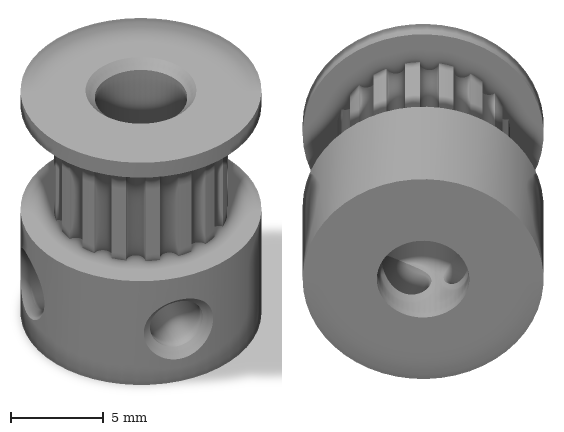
import cadquery as cq

total_height = 15
body_diameter = 13.0
flange_thickness = 1.0
hub_height = 7.0

tooth_count = 16
tooth_tip_diameter = 9.4
groove_diameter = 1.04

bore_diameter = 5.0
screw_diameter = 3
screw_height = hub_height / 2
screw_directions = [cq.Vector(0, -1, 0), cq.Vector(1, 0, 0)]

lead_in = 0.5

body_radius = body_diameter / 2
screw_radius = screw_diameter / 2
flange_base = total_height - flange_thickness
tooth_height = flange_base - hub_height
screw_level = cq.Vector(0, 0, screw_height)


def disc(diameter, height, base):
    """Cylinder on the pulley axis, rising from the given base level."""
    return cq.Workplane("XY").workplane(offset=base).circle(diameter / 2).extrude(height)


def toothed_section():
    """Cylinder with round-bottomed belt grooves centred on its rim."""
    grooves = (
        cq.Workplane("XY")
        .workplane(offset=hub_height)
        .polarArray(tooth_tip_diameter / 2, 0, 360, tooth_count)
        .circle(groove_diameter / 2)
        .extrude(tooth_height)
    )
    return disc(tooth_tip_diameter, tooth_height, hub_height).cut(grooves)


def cut_shaft_bore(pulley):
    """Through bore along the axis, chamfered at the flange end."""
    bored = pulley.cut(disc(bore_diameter, total_height, 0))
    bore_rim = cq.selectors.RadiusNthSelector(0)
    return bored.faces(">Z").edges(bore_rim).chamfer(lead_in)


def screw_mouth(direction):
    """Selector for the edges where a set screw hole breaks out of the hub surface."""
    centre = screw_level + direction * body_radius
    reach = cq.Vector(1, 1, 1) * (screw_radius + lead_in)
    return cq.selectors.BoxSelector((centre - reach).toTuple(), (centre + reach).toTuple())


def cut_screw_hole(pulley, direction):
    """Radial hole through one hub wall into the bore, chamfered at its mouth."""
    hole = cq.Solid.makeCylinder(screw_radius, body_diameter, screw_level, direction)
    return pulley.cut(cq.Workplane(hole)).edges(screw_mouth(direction)).chamfer(lead_in)


hub = disc(body_diameter, hub_height, 0)
flange = disc(body_diameter, flange_thickness, flange_base)
result = cut_shaft_bore(hub.union(toothed_section()).union(flange))

for screw_direction in screw_directions:
    result = cut_screw_hole(result, screw_direction)